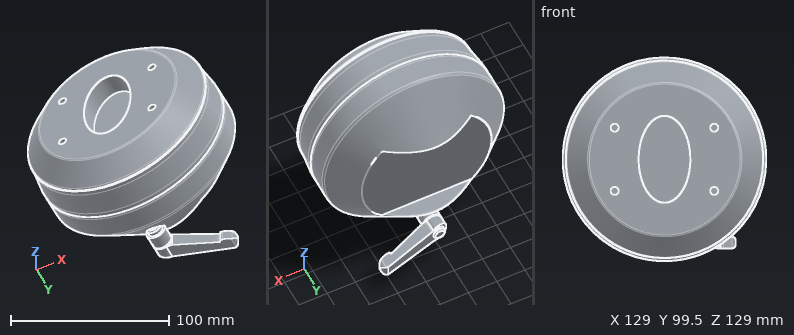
import cadquery as cq
import math

outer_radius = 64.5
face_radius = 48.4
face_edge_fillet = 1.5
cover_radius = 62.6
cover_rim_y = 12.9
cover_rim_fillet = 2.2
seam_start = 13.9
seam_end = 14.6
seam_depth = 0.3
taper_start = 17.5
taper_end = 32.6
band_joint_start = 36.1
band_joint_end = 37.8
band_joint_depth = 0.3
shoulder_y = 53.1
shoulder_fillet = 2.7
cone_tip_y = shoulder_y + outer_radius

edge_tolerance = 0.01

channel_half_width = 32.9
channel_floor_y = 71.5
channel_edge_fillet = 0.6

oval_half_width = 16.3
oval_half_height = 27.3
oval_depth = 14.5
oval_chamfer = 0.3
screw_hole_radius = 2.52
screw_hole_depth = 12.9
screw_hole_x = 31.5
screw_hole_z = 20.0

lever_z = -50.0
hub_radius = 6.6
hub_start = 69.4
hub_joint_start = 79.0
hub_joint_end = 79.7
hub_joint_depth = 0.1
hub_low_y = 86.2
collar_radius = 4.9
collar_start = 65.4
collar_chamfer = 1.2
stud_radius = 3.5
stud_start = 60.6
cap_radius = 4.19
cap_end = 90.3
cap_chamfer = 1.0

arm_end_x = 45.2
arm_crest_x = 41.3
arm_crest_y = 99.5
arm_root_bottom_z = -56.1
arm_end_bottom_z = -56.5
arm_root_x = 5.4
arm_root_top_z = -45.4
arm_blend_x = 4.3
arm_end_top_z = -49.0
arm_end_fillet = 2.8
arm_nose = (arm_end_x, 95.6)
arm_heel = (42.7, 91.7)
grip_belly = (40.2, 90.5)
grip_front = (37.2, 89.8)
grip_back = (35.7, 89.8)
grip_notch = (35.1, 91.0)
underside_end = (33.5, 90.5)
underside_start = (6.5, 80.0)


def cylinder_y(radius, start, end, x=0.0, z=0.0):
    """Cylinder parallel to Y between two Y positions."""
    return cq.Workplane("XZ", origin=(x, start, z)).circle(radius).extrude(start - end)


def edges_between(start, end):
    """Selector for the housing edges centred between two Y positions."""
    return cq.selectors.BoxSelector(
        (-outer_radius, start - edge_tolerance, -outer_radius),
        (outer_radius, end + edge_tolerance, outer_radius),
    )


def make_housing():
    profile = [
        (0, 0),
        (face_radius, 0),
        (cover_radius, cover_rim_y),
        (cover_radius, seam_start),
        (cover_radius - seam_depth, seam_start),
        (cover_radius - seam_depth, seam_end),
        (cover_radius, seam_end),
        (cover_radius, taper_start),
        (outer_radius, taper_end),
        (outer_radius, band_joint_start),
        (outer_radius - band_joint_depth, band_joint_start),
        (outer_radius, band_joint_end),
        (outer_radius, shoulder_y),
        (0, cone_tip_y),
    ]
    body = cq.Workplane("XY").polyline(profile).close().revolve(360, (0, 0, 0), (0, 1, 0))
    body = body.edges(edges_between(0, 0)).fillet(face_edge_fillet)
    body = body.edges(edges_between(cover_rim_y, cover_rim_y)).fillet(cover_rim_fillet)
    body = body.edges(edges_between(shoulder_y, shoulder_y)).fillet(shoulder_fillet)
    channel_depth = cone_tip_y - channel_floor_y
    channel = cq.Workplane("XY").box(
        2 * outer_radius, 2 * channel_depth, 2 * channel_half_width
    ).translate((0, channel_floor_y + channel_depth, 0))
    body = body.cut(channel)
    channel_rim = body.edges(edges_between(channel_floor_y, cone_tip_y)).edges("not |X")
    return channel_rim.fillet(channel_edge_fillet)


def cut_mounting_face(body):
    face = cq.Workplane("XZ")
    oval = face.ellipse(oval_half_width, oval_half_height).extrude(-oval_depth)
    oval = oval.union(
        face.ellipse(oval_half_width + oval_chamfer, oval_half_height + oval_chamfer).extrude(-oval_chamfer)
    )
    body = body.cut(oval)
    for x in (-screw_hole_x, screw_hole_x):
        for z in (-screw_hole_z, screw_hole_z):
            body = body.cut(cylinder_y(screw_hole_radius, 0, screw_hole_depth, x, z))
    return body


def make_lever():
    slope = (arm_crest_y - hub_low_y) / (arm_crest_x + hub_radius)
    hub_high_y = hub_low_y + 2 * hub_radius * slope
    stud = cylinder_y(stud_radius, stud_start, hub_start, z=lever_z)
    collar = cylinder_y(collar_radius, collar_start, hub_start, z=lever_z).faces("<Y").chamfer(collar_chamfer)
    cap = cylinder_y(cap_radius, hub_start, cap_end, z=lever_z).faces(">Y").chamfer(cap_chamfer)
    hub_side = [
        (-hub_radius, hub_start),
        (hub_radius, hub_start),
        (hub_radius, hub_high_y),
        (-hub_radius, hub_low_y),
    ]
    hub = cylinder_y(hub_radius, hub_start, hub_high_y, z=lever_z).intersect(
        cq.Workplane("XY", origin=(0, 0, lever_z)).polyline(hub_side).close().extrude(hub_radius, both=True)
    )
    joint = cylinder_y(hub_radius, hub_joint_start, hub_joint_end, z=lever_z)
    joint = joint.cut(cylinder_y(hub_radius - hub_joint_depth, hub_joint_start, hub_joint_end, z=lever_z))
    hub = hub.cut(joint)

    arm_side = (
        cq.Workplane("XY", origin=(0, 0, lever_z))
        .moveTo(0, hub_low_y + hub_radius * slope)
        .lineTo(arm_crest_x, arm_crest_y)
        .threePointArc(arm_nose, arm_heel)
        .threePointArc(grip_belly, grip_front)
        .lineTo(*grip_back)
        .lineTo(*grip_notch)
        .lineTo(*underside_end)
        .lineTo(*underside_start)
        .lineTo(0, hub_joint_end)
        .close()
        .extrude(hub_radius, both=True)
    )
    arm_blend_z = lever_z + math.sqrt(hub_radius**2 - arm_blend_x**2)
    arm_plan = [
        (0, arm_root_bottom_z),
        (arm_end_x, arm_end_bottom_z),
        (arm_end_x, arm_end_top_z),
        (arm_root_x, arm_root_top_z),
        (arm_blend_x, arm_blend_z),
        (0, arm_blend_z),
    ]
    plan = cq.Workplane("XZ").polyline(arm_plan).close().extrude(-2 * outer_radius)
    plan = plan.edges("|Y and >X").fillet(arm_end_fillet)
    arm = arm_side.intersect(plan)
    return hub.union(arm).union(cap).union(collar).union(stud)


result = cut_mounting_face(make_housing()).union(make_lever())